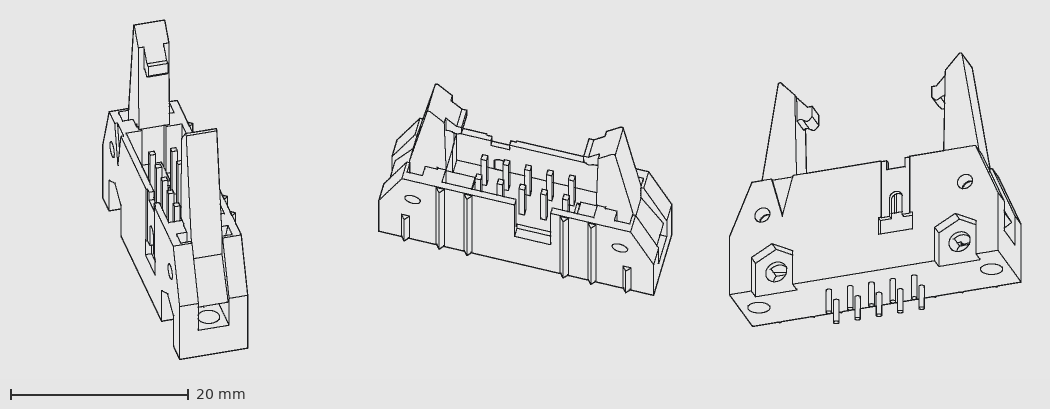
import cadquery as cq
import math

HALF_LENGTH = 16.0
HALF_DEPTH = 3.985
HEIGHT = 13.92
TOP_HALF_LENGTH = 13.3
SHOULDER_Z = 7.4

CAVITY_HALF_LENGTH = 8.83
WALL = 0.75
CAVITY_HALF_DEPTH = HALF_DEPTH - WALL
CAVITY_FLOOR_Z = 7.4

KEY_LEFT_X = -4.0
KEY_RIGHT_X = 0.2
KEY_INNER_Y = 2.9
KEY_FLOOR_Z = 6.4

LATCH_WIDTH = 3.6
SLOT_FLOOR_Z = 3.65
SLOT_END_X = 9.73
FOOT_SLOT_WIDTH = 2.8
RAMP_BOTTOM_X = 8.03
RAMP_TOP_X = 5.65
FLOOR_HOLE_X = 13.85
FLOOR_HOLE_RADIUS = 1.25

PIVOT_X = 12.05
PIVOT_Z = 9.5
PIVOT_HOLE_RADIUS = 0.9
TRUNNION_RADIUS = PIVOT_HOLE_RADIUS
TRUNNION_END_Y = 2.2
GROOVE_TOP_Y = 3.0

NUT_X = 10.9
NUT_HALF_WIDTH = 2.45
NUT_SHOULDER_Z = 4.3
NUT_PEAK_Z = 5.63
NUT_POCKET_DEPTH = 1.45
SCREW_Z = 2.75
SCREW_RADIUS = 1.25
SCREW_END_Y = 0.0

MARK_X = -9.7
MARK_HALF_WIDTH = 1.28
MARK_BOTTOM_Z = 8.95
MARK_DEPTH = 0.32

RECESS_X = 3.78
RECESS_WIDTH = 3.42
RECESS_DEPTH = 0.15
POCKET_WIDTH = 4.05
POCKET_BOTTOM_Z = 4.58
POCKET_TOP_Z = 6.72
WINDOW_WIDTH = 1.47
WINDOW_TOP_Z = 9.8
TOP_NOTCH_WIDTH = 2.18
TOP_NOTCH_BOTTOM_Z = 12.8

RIB_HEIGHT = 0.58
RIB_HALF_WIDTH = 0.48
RIB_BOTTOM_Z = 0.2
RIB_TOP_Z = 13.73
OUTER_RIB_TOP_Z = 5.38
INNER_RIB_XS = (5.6, 8.83)
OUTER_RIB_X = 12.9

PIN_PITCH = 2.54
PINS_PER_ROW = 5
PIN_WIDTH = 0.65
PIN_TOP_Z = 13.38
PIN_BOTTOM_Z = -2.8

TIP_OUTER_X = 10.95
TIP_INNER_X = 10.53
TIP_EDGE_Z = 27.2
ARM_TOP_Z = 27.33
ARM_INNER_TOP_X = 8.95
ARM_INNER_BASE_X = 8.75
ARM_BASE_Z = 14.2
ARM_OUTER_X = 13.02
STEM_INNER_X = 9.82
TAIL_TOP_Z = 11.5
TAIL_X = 15.6
TAIL_Z = 6.6
UNDERSIDE_START_X = 14.08
UNDERSIDE_START_Z = 5.6

HOOK_WIDTH = 2.3
HOOK_SLOPE_END_X = 7.68
HOOK_TOP_Z = 24.0
HOOK_END_X = 7.1
HOOK_END_Z = 22.7
HOOK_ROUND_START = (-7.5, 22.27)
HOOK_LOWEST = (-7.7, 22.18)
HOOK_ROUND_END = (-7.95, 22.27)
HOOK_SCALLOP_START = (-8.2, 22.4)
HOOK_SCALLOP_TOP = (-8.5, 22.55)
HOOK_ROOT_Z = 22.3

FOOT_WIDTH = 2.3
FOOT_BOTTOM_Z = 4.75
FOOT_HEEL_X = 10.72
FOOT_BEND_X = 8.15
FOOT_TIP_X = 6.15
FOOT_TIP_Z = 7.68
FOOT_TOP_Z = 8.32


def box(x0, x1, y0, y1, z0, z1):
    """Axis-aligned block between two corners."""
    return cq.Workplane("XY").box(x1 - x0, y1 - y0, z1 - z0, centered=False).translate((x0, y0, z0))


def along_y(profile, y0, y1):
    """Extrude a closed XZ outline from y0 to y1."""
    return profile.extrude(y0 - y1).translate((0, y0, 0))


def outline_xz(points):
    return cq.Workplane("XZ").polyline(points).close()


def rod_y(x, z, radius, y0, y1):
    return along_y(cq.Workplane("XZ").center(x, z).circle(radius), y0, y1)


def mirrored(body):
    """The same body at the opposite X end."""
    return body.mirror("YZ")


def housing_block():
    """Solid block with both upper corners sloped off."""
    outline = outline_xz([
        (-HALF_LENGTH, 0), (-HALF_LENGTH, SHOULDER_Z), (-TOP_HALF_LENGTH, HEIGHT),
        (TOP_HALF_LENGTH, HEIGHT), (HALF_LENGTH, SHOULDER_Z), (HALF_LENGTH, 0),
    ])
    return along_y(outline, -HALF_DEPTH, HALF_DEPTH)


def cavity():
    return box(
        -CAVITY_HALF_LENGTH, CAVITY_HALF_LENGTH,
        -CAVITY_HALF_DEPTH, CAVITY_HALF_DEPTH,
        CAVITY_FLOOR_Z, HEIGHT,
    )


def key_notch():
    return box(KEY_LEFT_X, KEY_RIGHT_X, KEY_INNER_Y, HALF_DEPTH, KEY_FLOOR_Z, HEIGHT)


def latch_slot():
    """Slot for the left latch: wide for the arm, then narrow with a ramp for the foot."""
    half = LATCH_WIDTH / 2
    wide = box(-HALF_LENGTH, -SLOT_END_X, -half, half, SLOT_FLOOR_Z, HEIGHT)
    narrow = outline_xz([
        (-SLOT_END_X, SLOT_FLOOR_Z), (-RAMP_BOTTOM_X, SLOT_FLOOR_Z), (-RAMP_TOP_X, CAVITY_FLOOR_Z),
        (-CAVITY_HALF_LENGTH, CAVITY_FLOOR_Z), (-CAVITY_HALF_LENGTH, HEIGHT), (-SLOT_END_X, HEIGHT),
    ])
    floor_hole = (
        cq.Workplane("XY").center(-FLOOR_HOLE_X, 0).circle(FLOOR_HOLE_RADIUS).extrude(SLOT_FLOOR_Z)
    )
    return wide.union(along_y(narrow, -FOOT_SLOT_WIDTH / 2, FOOT_SLOT_WIDTH / 2)).union(floor_hole)


def pivot_seat():
    """Through hole for the left trunnions and the tapering grooves that let them snap in."""
    groove = (
        cq.Workplane("YZ")
        .polyline([
            (-GROOVE_TOP_Y, HEIGHT), (-TRUNNION_END_Y, PIVOT_Z),
            (TRUNNION_END_Y, PIVOT_Z), (GROOVE_TOP_Y, HEIGHT),
        ])
        .close()
        .extrude(PIVOT_HOLE_RADIUS, both=True)
        .translate((-PIVOT_X, 0, 0))
    )
    return groove.union(rod_y(-PIVOT_X, PIVOT_Z, PIVOT_HOLE_RADIUS, -HALF_DEPTH, HALF_DEPTH))


def nut_pocket():
    """Left nut pocket, open at the underside, with its screw hole running on to mid-depth."""
    pocket = outline_xz([
        (-NUT_X - NUT_HALF_WIDTH, 0), (-NUT_X - NUT_HALF_WIDTH, NUT_SHOULDER_Z), (-NUT_X, NUT_PEAK_Z),
        (-NUT_X + NUT_HALF_WIDTH, NUT_SHOULDER_Z), (-NUT_X + NUT_HALF_WIDTH, 0),
    ])
    screw_hole = rod_y(-NUT_X, SCREW_Z, SCREW_RADIUS, -HALF_DEPTH, SCREW_END_Y)
    return along_y(pocket, -HALF_DEPTH, -HALF_DEPTH + NUT_POCKET_DEPTH).union(screw_hole)


def pin_one_mark():
    mark = outline_xz([
        (MARK_X - MARK_HALF_WIDTH, HEIGHT), (MARK_X, MARK_BOTTOM_Z), (MARK_X + MARK_HALF_WIDTH, HEIGHT),
    ])
    return along_y(mark, -HALF_DEPTH, -HALF_DEPTH + MARK_DEPTH)


def key_recess():
    """Shallow channel, deeper pocket, arched window and top notch in the -Y wall."""
    def block(width, z0, z1, depth):
        return box(
            RECESS_X - width / 2, RECESS_X + width / 2,
            -HALF_DEPTH, -HALF_DEPTH + depth, z0, z1,
        )

    window_radius = WINDOW_WIDTH / 2
    arch_z = WINDOW_TOP_Z - window_radius
    return (
        block(RECESS_WIDTH, POCKET_TOP_Z, HEIGHT, RECESS_DEPTH)
        .union(block(POCKET_WIDTH, POCKET_BOTTOM_Z, POCKET_TOP_Z, WALL))
        .union(block(WINDOW_WIDTH, POCKET_TOP_Z, arch_z, WALL))
        .union(rod_y(RECESS_X, arch_z, window_radius, -HALF_DEPTH, -CAVITY_HALF_DEPTH))
        .union(block(TOP_NOTCH_WIDTH, TOP_NOTCH_BOTTOM_Z, HEIGHT, WALL))
    )


def rib(x, top_z):
    return (
        cq.Workplane("XY", origin=(x, HALF_DEPTH, RIB_BOTTOM_Z))
        .polyline([(-RIB_HALF_WIDTH, 0), (RIB_HALF_WIDTH, 0), (0, RIB_HEIGHT)])
        .close()
        .extrude(top_z - RIB_BOTTOM_Z)
    )


def pin(x, y):
    """Contact pin: square in the cavity, round below the housing."""
    half = PIN_WIDTH / 2
    contact = box(x - half, x + half, y - half, y + half, 0, PIN_TOP_Z)
    tail = cq.Workplane("XY").center(x, y).circle(half).extrude(PIN_BOTTOM_Z)
    return contact.union(tail)


def make_housing():
    body = housing_block().cut(cavity()).cut(key_notch())
    for cutter in (latch_slot(), pivot_seat(), nut_pocket()):
        body = body.cut(cutter).cut(mirrored(cutter))
    body = body.cut(pin_one_mark()).cut(key_recess())
    for side in (-1, 1):
        for x in INNER_RIB_XS:
            body = body.union(rib(side * x, RIB_TOP_Z))
        body = body.union(rib(side * OUTER_RIB_X, OUTER_RIB_TOP_Z))
    for column in range(PINS_PER_ROW):
        x = (column - (PINS_PER_ROW - 1) / 2) * PIN_PITCH
        for y in (-PIN_PITCH / 2, PIN_PITCH / 2):
            body = body.union(pin(x, y))
    return body


def latch_slope_z(x):
    """Height of the straight slope from the arm tip down to the hook, at distance x from the middle."""
    drop = (TIP_EDGE_Z - HOOK_TOP_Z) / (TIP_INNER_X - HOOK_SLOPE_END_X)
    return TIP_EDGE_Z - drop * (TIP_INNER_X - x)


def underside_point(x):
    """Point of the latch underside: an arc that levels out where the foot bends upward."""
    run = UNDERSIDE_START_X - FOOT_BEND_X
    rise = UNDERSIDE_START_Z - FOOT_BOTTOM_Z
    radius = (run**2 + rise**2) / (2 * rise)
    return -x, FOOT_BOTTOM_Z + radius - math.sqrt(radius**2 - (x - FOOT_BEND_X) ** 2)


def latch_arm():
    """Full-width arm with a rounded tip above and a tail reaching outward below."""
    outline = (
        cq.Workplane("XZ")
        .moveTo(-TIP_OUTER_X, TIP_EDGE_Z)
        .threePointArc((-(TIP_OUTER_X + TIP_INNER_X) / 2, ARM_TOP_Z), (-TIP_INNER_X, TIP_EDGE_Z))
        .lineTo(-ARM_INNER_TOP_X, latch_slope_z(ARM_INNER_TOP_X))
        .lineTo(-ARM_INNER_BASE_X, ARM_BASE_Z)
        .lineTo(-STEM_INNER_X, ARM_BASE_Z)
        .lineTo(*underside_point(STEM_INNER_X))
        .threePointArc(
            underside_point((STEM_INNER_X + UNDERSIDE_START_X) / 2), underside_point(UNDERSIDE_START_X)
        )
        .lineTo(-TAIL_X, TAIL_Z)
        .lineTo(-ARM_OUTER_X, TAIL_TOP_Z)
        .lineTo(-ARM_OUTER_X, ARM_BASE_Z)
        .close()
    )
    return along_y(outline, -LATCH_WIDTH / 2, LATCH_WIDTH / 2)


def latch_hook():
    outline = (
        cq.Workplane("XZ")
        .moveTo(-ARM_INNER_TOP_X, latch_slope_z(ARM_INNER_TOP_X))
        .lineTo(-HOOK_SLOPE_END_X, HOOK_TOP_Z)
        .lineTo(-HOOK_END_X, HOOK_TOP_Z)
        .lineTo(-HOOK_END_X, HOOK_END_Z)
        .lineTo(*HOOK_ROUND_START)
        .threePointArc(HOOK_LOWEST, HOOK_ROUND_END)
        .lineTo(*HOOK_SCALLOP_START)
        .threePointArc(HOOK_SCALLOP_TOP, (-ARM_INNER_TOP_X, HOOK_ROOT_Z))
        .close()
    )
    return along_y(outline, -HOOK_WIDTH / 2, HOOK_WIDTH / 2)


def latch_foot():
    outline = (
        cq.Workplane("XZ")
        .moveTo(*underside_point(FOOT_HEEL_X))
        .threePointArc(underside_point((FOOT_HEEL_X + FOOT_BEND_X) / 2), underside_point(FOOT_BEND_X))
        .lineTo(-FOOT_TIP_X, FOOT_TIP_Z)
        .lineTo(-FOOT_TIP_X, FOOT_TOP_Z)
        .lineTo(-FOOT_HEEL_X, FOOT_TOP_Z)
        .close()
    )
    return along_y(outline, -FOOT_WIDTH / 2, FOOT_WIDTH / 2)


def make_latch():
    """Left latch: tapered arm, hook, foot and a trunnion on each side."""
    trunnions = rod_y(-PIVOT_X, PIVOT_Z, TRUNNION_RADIUS, -TRUNNION_END_Y, TRUNNION_END_Y)
    return latch_arm().union(latch_hook()).union(latch_foot()).union(trunnions)


housing = make_housing()
left_latch = make_latch()
right_latch = mirrored(left_latch)
result = cq.Compound.makeCompound([housing.val(), left_latch.val(), right_latch.val()])